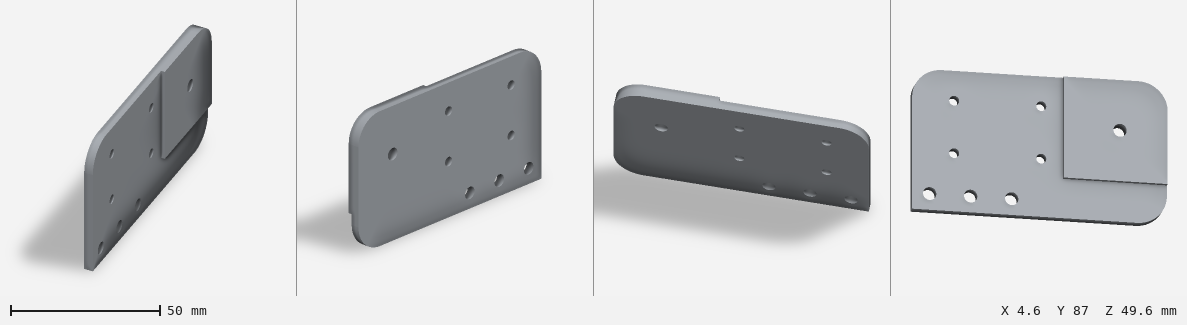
import cadquery as cq

length = 87.0
height = 49.6
plate_thickness = 3.2
total_thickness = 4.6
corner_radius = 10.1

pad_length = 35.5
pad_height = 35.65

large_hole_diameter = 4.5
row_start_y = 6.0
row_pitch = 14.0
row_count = 3
row_z = 5.7
lone_hole = (70.7, 31.8)

small_hole_diameter = 3.4
pattern_start_y = 14.35
pattern_start_z = 20.5
pattern_length = 29.7
pattern_height = 18.5


def block(thickness, y_start, z_start):
    """Block from a lower (Y, Z) corner to the far upper corner of the plate."""
    size = (thickness, length - y_start, height - z_start)
    return cq.Workplane("XY").box(*size, centered=False).translate((0, y_start, z_start))


def holes(centers, diameter):
    """Cylinders through the full thickness at the given (Y, Z) centers."""
    return cq.Workplane("YZ").pushPoints(centers).circle(diameter / 2).extrude(total_thickness)


plate = block(plate_thickness, 0, 0)
pad = block(total_thickness, length - pad_length, height - pad_height)
body = plate.union(pad)

outline = block(total_thickness, 0, 0)
outline = outline.edges("|X and >Y").fillet(corner_radius)
outline = outline.edges("|X and <Y and >Z").fillet(corner_radius)
body = body.intersect(outline)

row = [(row_start_y + i * row_pitch, row_z) for i in range(row_count)]
pattern = [
    (pattern_start_y + y, pattern_start_z + z)
    for y in (0, pattern_length)
    for z in (0, pattern_height)
]
body = body.cut(holes(row + [lone_hole], large_hole_diameter))
body = body.cut(holes(pattern, small_hole_diameter))

result = body.translate((-total_thickness / 2, -length / 2, -height / 2))